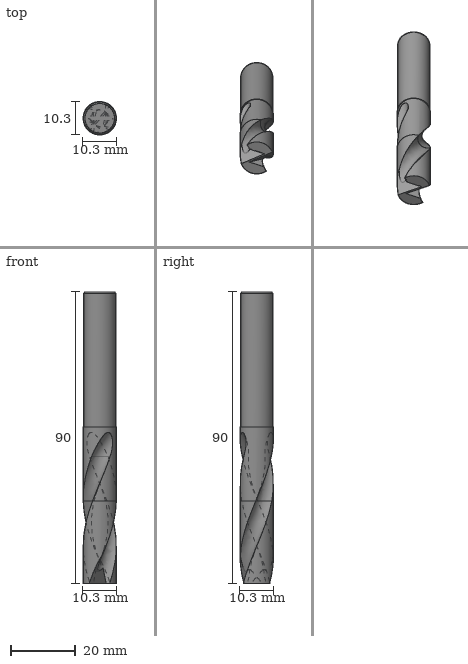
import cadquery as cq
import math

total_length = 90.0
cutting_length = 25.5
fluted_length = 48.2
body_diameter = 10.3
shank_diameter = 10.0
shank_chamfer = 0.45

flute_count = 2
flute_pitch = 77.4
flute_radius = 3.2
web_radius = 2.5
flute_end_height = 39.15
flute_end_angle = -86.0
runout_length = 9.0
runout_radius = 13.5
runout_slope = 0.55

gash_height = 9.0
gash_wall_x = 2.0
gash_floor_y = -0.4
gash_floor_slope = 1.1
gash_lean_x = -0.2
gash_lean_y = -0.85

flute_offset = web_radius + flute_radius
flute_spacing = 360.0 / flute_count
flute_twist = 360.0 * flute_end_height / flute_pitch
flute_start_angle = flute_end_angle - flute_twist


def cylinder(diameter, bottom, top):
    """Upright cylinder between two heights."""
    return cq.Workplane("XY", origin=(0, 0, bottom)).circle(diameter / 2.0).extrude(top - bottom)


def helical_flute(start_angle):
    """Groove cutter twisting up from the tip to the start of the runout."""
    groove = (
        cq.Workplane("XY")
        .moveTo(flute_offset, 0)
        .circle(flute_radius)
        .twistExtrude(flute_end_height, flute_twist)
    )
    return groove.rotate((0, 0, 0), (0, 0, 1), start_angle)


def flute_runout(end_angle):
    """Groove cutter that leans sideways and curves outward out of the body."""
    rise = runout_length
    outward = runout_radius - math.sqrt(runout_radius**2 - rise**2)
    half_rise = rise / 2.0
    half_outward = runout_radius - math.sqrt(runout_radius**2 - half_rise**2)
    path = cq.Workplane(
        cq.Edge.makeThreePointArc(
            cq.Vector(flute_offset, 0, flute_end_height),
            cq.Vector(flute_offset + half_outward, half_rise * runout_slope, flute_end_height + half_rise),
            cq.Vector(flute_offset + outward, rise * runout_slope, flute_end_height + rise),
        )
    )
    groove = (
        cq.Workplane("XY", origin=(flute_offset, 0, flute_end_height))
        .circle(flute_radius)
        .sweep(path)
    )
    return groove.rotate((0, 0, 0), (0, 0, 1), end_angle)


def end_gash(turn):
    """Leaning prism that notches the tip beside a flute."""
    outer_x = -body_diameter
    outer_y = -2.0 * body_diameter
    outline = cq.Wire.makePolygon(
        [
            cq.Vector(outer_x, gash_floor_y + gash_floor_slope * outer_x, 0),
            cq.Vector(gash_wall_x, gash_floor_y + gash_floor_slope * gash_wall_x, 0),
            cq.Vector(gash_wall_x, outer_y, 0),
            cq.Vector(outer_x, outer_y, 0),
        ],
        close=True,
    )
    lean = cq.Vector(gash_lean_x, gash_lean_y, 1.0) * gash_height
    prism = cq.Workplane(cq.Solid.extrudeLinear(outline, [], lean))
    return prism.rotate((0, 0, 0), (0, 0, 1), turn)


shank = cylinder(shank_diameter, fluted_length, total_length).faces(">Z").chamfer(shank_chamfer)
holder = cylinder(body_diameter, cutting_length, fluted_length).union(shank)
cutter = cylinder(body_diameter, 0, cutting_length)
for i in range(flute_count):
    turn = i * flute_spacing
    flute = helical_flute(flute_start_angle + turn)
    holder = holder.cut(flute).cut(flute_runout(flute_end_angle + turn))
    cutter = cutter.cut(flute).cut(end_gash(turn))

result = cq.Compound.makeCompound([holder.val(), cutter.val()])